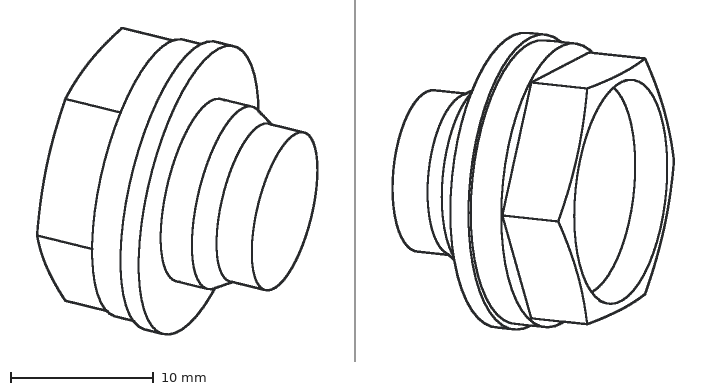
import cadquery as cq
import math

hex_length = 4.65
collar_length = 2.35
flange_length = 1.4
shank_length = 2.4
cone_length = 1.5
spigot_length = 2.7

collar_diameter = 20.0
flange_diameter = 20.8
shank_diameter = 13.17
spigot_diameter = 11.4

across_flats = 17.01
across_corners = across_flats / math.cos(math.pi / 6)
chamfer_angle = math.radians(15)

recess_mouth_diameter = 15.79
recess_floor_diameter = 15.0
recess_depth = 2.29


def frustum(start_x, length, start_diameter, end_diameter):
    """Solid of revolution about X whose diameter varies linearly."""
    end_x = start_x + length
    profile = [
        (start_x, 0),
        (start_x, start_diameter / 2),
        (end_x, end_diameter / 2),
        (end_x, 0),
    ]
    return cq.Workplane("XY").polyline(profile).close().revolve(360, (0, 0, 0), (1, 0, 0))


def hex_head():
    """Hexagon with flats facing +Z and -Z and its front corners turned off."""
    prism = cq.Workplane("YZ").polygon(6, across_corners).extrude(hex_length)
    cone_end_diameter = across_flats + 2 * hex_length / math.tan(chamfer_angle)
    return prism.intersect(frustum(0, hex_length, across_flats, cone_end_diameter))


def turned_body():
    """Collar, sealing flange, shank, cone and spigot in order along X."""
    sections = [
        (collar_length, collar_diameter, collar_diameter),
        (flange_length, flange_diameter, flange_diameter),
        (shank_length, shank_diameter, shank_diameter),
        (cone_length, shank_diameter, spigot_diameter),
        (spigot_length, spigot_diameter, spigot_diameter),
    ]
    body = cq.Workplane("XY")
    start_x = hex_length
    for length, start_diameter, end_diameter in sections:
        body = body.add(frustum(start_x, length, start_diameter, end_diameter))
        start_x += length
    return body.combine()


recess = frustum(0, recess_depth, recess_mouth_diameter, recess_floor_diameter)
result = hex_head().union(turned_body()).cut(recess)